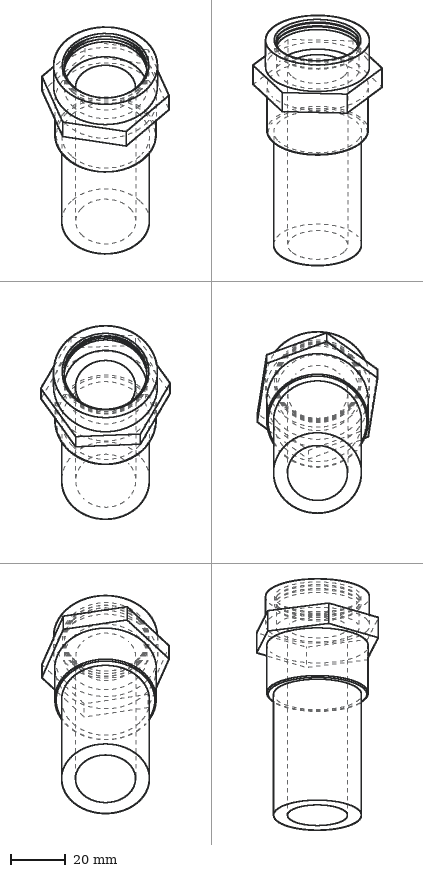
import cadquery as cq
import math

total_height = 85.0
tube_height = 47.0
hex_bottom = 66.05
hex_height = 7.9

tube_diameter = 32.1
collar_diameter = 37.1
collar_chamfer = 0.5
head_diameter = 38.0
hex_across_flats = 41.0
hex_across_corners = hex_across_flats / math.cos(math.pi / 6)

bore_diameter = 21.9
socket_diameter = 30.3
socket_depth = 12.0
groove_diameter = 31.6
groove_pitch = 1.5
groove_count = 3


def cylinder(diameter, bottom, top):
    """Upright cylinder on the Z axis between two heights."""
    return cq.Workplane("XY").workplane(offset=bottom).circle(diameter / 2).extrude(top - bottom)


tube = cylinder(tube_diameter, 0, tube_height)
collar = cylinder(collar_diameter, tube_height, hex_bottom).faces("<Z").chamfer(collar_chamfer)
hexagon = (
    cq.Workplane("XY")
    .workplane(offset=hex_bottom)
    .transformed(rotate=(0, 0, 90))
    .polygon(6, hex_across_corners)
    .extrude(hex_height)
)
head = cylinder(head_diameter, hex_bottom + hex_height, total_height)
body = tube.union(collar).union(hexagon).union(head)

bore = cylinder(bore_diameter, 0, total_height)
socket = cylinder(socket_diameter, total_height - socket_depth, total_height)

profile = [(0, total_height)]
for groove in range(groove_count):
    widest = total_height - groove * groove_pitch
    profile.append((groove_diameter / 2, widest))
    profile.append((socket_diameter / 2, widest - groove_pitch / 2))
profile.append((0, profile[-1][1]))
grooves = cq.Workplane("XZ").polyline(profile).close().revolve(360, (0, 0, 0), (0, 1, 0))

result = body.cut(bore).cut(socket).cut(grooves)